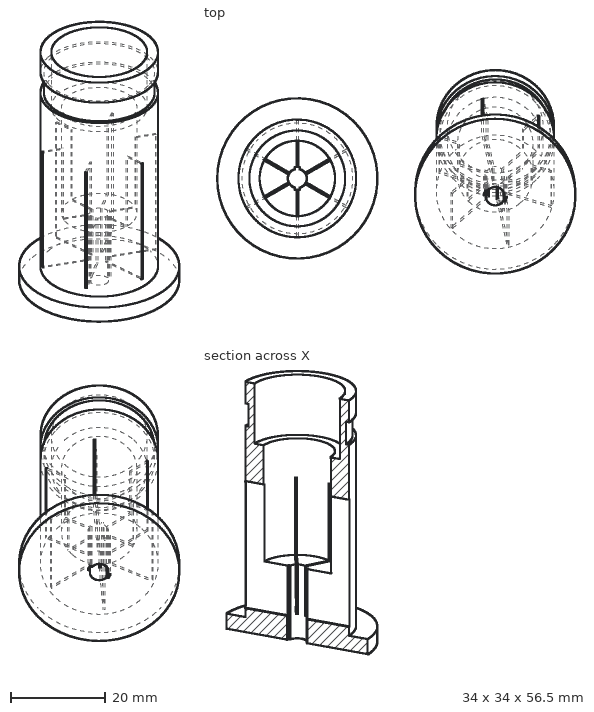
import cadquery as cq

height = 56.5
flange_diameter = 34.0
flange_thickness = 3.5
body_diameter = 25.0

head_height = 5.0
groove_width = 5.05
groove_diameter = 23.5

wide_bore_diameter = 20.35
wide_bore_depth = 13.55
narrow_bore_diameter = 16.0
jaw_top = 16.65
shank_hole_diameter = 4.0

slot_count = 6
slot_width = 0.4
slot_bottom = 5.5
slot_top = 34.0

keyway_width = 1.0
keyway_length = 4.8


def make_sleeve():
    """Revolve the half section: flange, grooved body and stepped bore."""
    groove_top = height - head_height
    groove_bottom = groove_top - groove_width
    shoulder = height - wide_bore_depth
    section = [
        (shank_hole_diameter, 0),
        (flange_diameter, 0),
        (flange_diameter, flange_thickness),
        (body_diameter, flange_thickness),
        (body_diameter, groove_bottom),
        (groove_diameter, groove_bottom),
        (groove_diameter, groove_top),
        (body_diameter, groove_top),
        (body_diameter, height),
        (wide_bore_diameter, height),
        (wide_bore_diameter, shoulder),
        (narrow_bore_diameter, shoulder),
        (narrow_bore_diameter, jaw_top),
        (shank_hole_diameter, jaw_top),
    ]
    points = [(-diameter / 2, level) for diameter, level in section]
    return cq.Workplane("XZ").polyline(points).close().revolve(360, (0, 0), (0, 1))


def cut_slots(body):
    """Cut slots through the wall; each box spans the full diameter and makes two."""
    slot = cq.Workplane("XY").workplane(offset=slot_bottom)
    slot = slot.rect(slot_width, flange_diameter).extrude(slot_top - slot_bottom)
    for index in range(slot_count // 2):
        body = body.cut(slot.rotate((0, 0, 0), (0, 0, 1), index * 360 / slot_count))
    return body


def cut_keyway(body):
    """Widen the centre hole with a keyway through the jaws and the flange."""
    keyway = cq.Workplane("XY").rect(keyway_width, keyway_length).extrude(jaw_top)
    return body.cut(keyway)


result = cut_keyway(cut_slots(make_sleeve()))